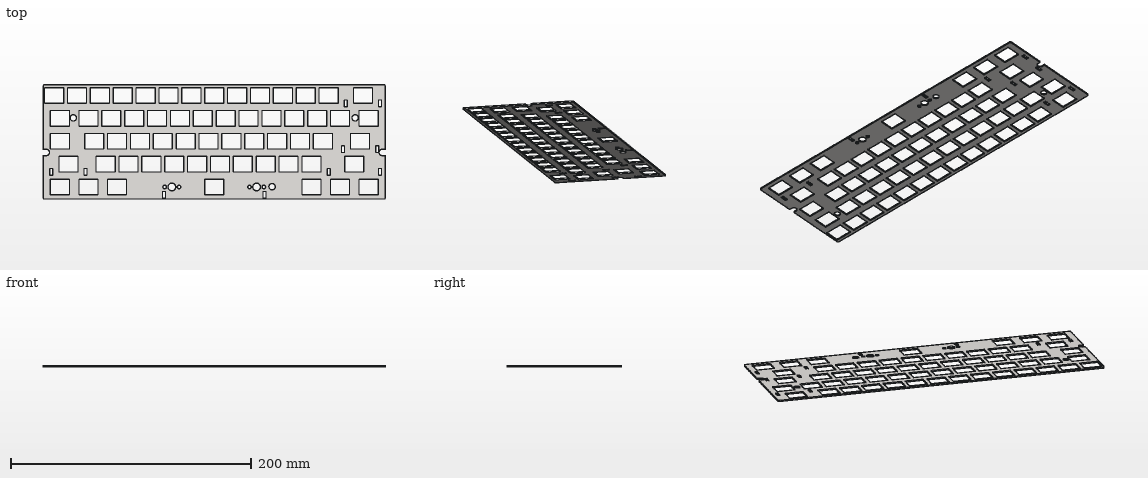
import cadquery as cq

LENGTH = 285
WIDTH = 95.5
THICKNESS = 1.2
CORNER_RADIUS = 1.0

LAYOUT_LENGTH = 285.9
UNITS_ACROSS = 15
PITCH = LAYOUT_LENGTH / UNITS_ACROSS
ROWS = 5
LAYOUT_Y = 0.5

SWITCH_LENGTH = 15.7
SWITCH_WIDTH = 12.8

STABILIZER_LENGTH = 2.3
STABILIZER_WIDTH = 5.5
STABILIZER_DROP = 6.5
SHORT_SPREAD = 14.2
SHIFT_SPREAD = 21.5
SPACE_SPREAD = 42.0

MOUNT_DIAMETER = 5.0
MOUNT_UPPER_X = 117.5
MOUNT_UPPER_Y = 20.0
MOUNT_LOWER_X = 48.2
MOUNT_LOWER_Y = -37.3
NOTCH_Y = -8.8
NOTCH_DEPTH = 5.0

PIN_DIAMETER = 6.3
PIN_SPREAD = 35.3
SIDE_PIN_DIAMETER = 2.8
SIDE_PIN_OFFSET = 6.0

QUARTERS_PER_UNIT = 4
LETTER = 4
MODIFIER = 6
BACKSPACE = 8
ENTER = 9
LEFT_SHIFT = 9
RIGHT_SHIFT = 11
SPACE = 28
CAPS_LOCK_STEP = 1

STABILIZER_SPREADS = {
    BACKSPACE: SHORT_SPREAD,
    ENTER: SHORT_SPREAD,
    LEFT_SHIFT: SHORT_SPREAD,
    RIGHT_SHIFT: SHIFT_SPREAD,
    SPACE: SPACE_SPREAD,
}


def key_row(widths, start=0):
    """Width and centre of keys laid side by side from start, all in quarter units."""
    keys = []
    for width in widths:
        keys.append((width, start + width / 2))
        start += width
    return keys


KEY_ROWS = [
    key_row([LETTER] * 13 + [BACKSPACE]),
    key_row([MODIFIER] + [LETTER] * 12 + [MODIFIER]),
    key_row([MODIFIER]) + key_row([LETTER] * 11 + [ENTER], start=MODIFIER + CAPS_LOCK_STEP),
    key_row([LEFT_SHIFT] + [LETTER] * 10 + [RIGHT_SHIFT]),
    key_row([MODIFIER, LETTER, MODIFIER, SPACE, MODIFIER, LETTER, MODIFIER]),
]


def key_point(row, centre):
    """Plate position of a key centre given in quarter units."""
    x = (centre / QUARTERS_PER_UNIT - UNITS_ACROSS / 2) * PITCH
    y = LAYOUT_Y + ((ROWS - 1) / 2 - row) * PITCH
    return x, y


def either_side(point, spread):
    """Two points at equal distances left and right of a point."""
    x, y = point
    return [(x - spread, y), (x + spread, y)]


def rectangles(points, length, width):
    return cq.Workplane("XY").pushPoints(points).rect(length, width).extrude(THICKNESS)


def round_holes(points, diameter):
    return cq.Workplane("XY").pushPoints(points).circle(diameter / 2).extrude(THICKNESS)


def switch_openings():
    points = [key_point(row, centre) for row, keys in enumerate(KEY_ROWS) for _, centre in keys]
    return rectangles(points, SWITCH_LENGTH, SWITCH_WIDTH)


def stabilizer_slots():
    points = []
    for row, keys in enumerate(KEY_ROWS):
        for width, centre in keys:
            if width in STABILIZER_SPREADS:
                x, y = key_point(row, centre)
                points += either_side((x, y - STABILIZER_DROP), STABILIZER_SPREADS[width])
    return rectangles(points, STABILIZER_LENGTH, STABILIZER_WIDTH)


def mounting_holes():
    points = either_side((0, MOUNT_UPPER_Y), MOUNT_UPPER_X) + [(MOUNT_LOWER_X, MOUNT_LOWER_Y)]
    return round_holes(points, MOUNT_DIAMETER)


def edge_notches():
    points = either_side((0, NOTCH_Y), LENGTH / 2)
    return cq.Workplane("XY").pushPoints(points).slot2D(2 * NOTCH_DEPTH, MOUNT_DIAMETER).extrude(THICKNESS)


def pin_holes():
    space_bar = key_point(ROWS - 1, UNITS_ACROSS * QUARTERS_PER_UNIT / 2)
    centres = either_side(space_bar, PIN_SPREAD)
    side_pins = [point for centre in centres for point in either_side(centre, SIDE_PIN_OFFSET)]
    return round_holes(centres, PIN_DIAMETER).union(round_holes(side_pins, SIDE_PIN_DIAMETER))


plate = cq.Workplane("XY").box(LENGTH, WIDTH, THICKNESS, centered=(True, True, False))
plate = plate.edges("|Z").fillet(CORNER_RADIUS)

result = (
    plate.cut(switch_openings())
    .cut(stabilizer_slots())
    .cut(mounting_holes())
    .cut(edge_notches())
    .cut(pin_holes())
)